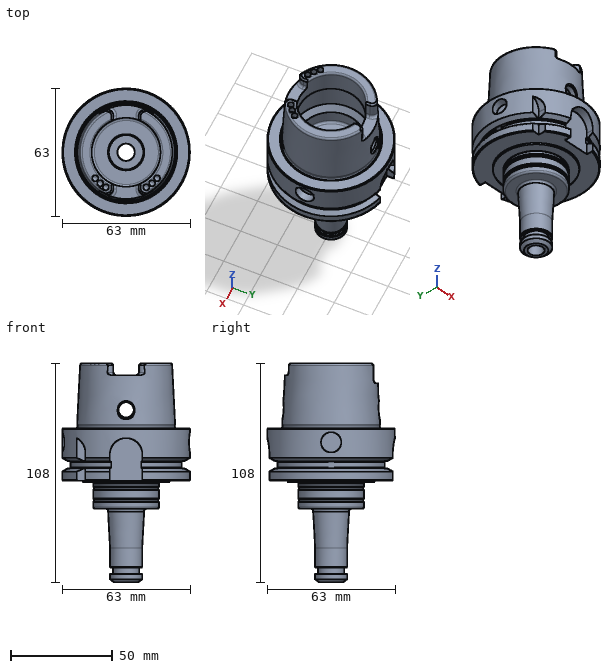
import cadquery as cq
import math


TOP_Z = 32.0
BOTTOM_Z = -76.0

TAPER_GAUGE_R = 24.0
TAPER_GAUGE_Z = 6.3
TAPER_SLOPE = 0.05
TAPER_BASE_Z = 2.0
RIM_ROUND = 1.0
RELIEF_R = 48.13 / 2
RELIEF_TOP_Z = 1.3
RELIEF_LOW_Z = 0.67
RELIEF_FLOOR_Z = -0.2
RELIEF_FLOOR_R = 24.7
RELIEF_EDGE_R = 25.3

FLANGE_R = 31.5
FLANGE_CHAMFER = 0.5
FLANGE_BOTTOM_Z = -26.0
GRIP_MID_Z = -18.05
GRIP_HALF_HEIGHT = 3.35
GRIP_INNER_HALF_HEIGHT = 1.75
GRIP_FLANK_ANGLE = math.radians(30)
GRIP_R = 27.5
GRIP_ROUND = 0.4
HUB_R = 21.5
HUB_BOTTOM_Z = -26.8
HUB_CHAMFER = 0.3

COLLAR_R = 32.5 / 2
COLLAR_TOP_CHAMFER_WIDTH = 0.3
COLLAR_TOP_CHAMFER_HEIGHT = 0.5
COLLAR_BOTTOM_Z = -39.8
COLLAR_ROUND = 1.0
COLLAR_GROOVE_DEPTH = 0.35
COLLAR_GROOVE_MOUTH = 1.9
COLLAR_GROOVE_FLOOR = 0.9
COLLAR_GROOVE_MID_Z = (-29.7, -35.6)

NOSE_R = 8.0
NOSE_ROOT_R = 8.95
NOSE_FILLET_TOP_R = 10.0
NOSE_FILLET_Z = -41.3
NOSE_TAPER_END_Z = -58.9
NECK_R = 13.0 / 2
NECK_TOP_Z = -68.8
NECK_BOTTOM_Z = -71.7
NECK_EDGE_CHAMFER = 0.4
TIP_R = 6.0
TIP_CHAMFER_Z = -74.4

MOUTH_R = 34.0 / 2
MOUTH_BOTTOM_Z = 19.0
UNDERCUT_R = 40.0 / 2
SHOULDER_ANGLE = math.radians(30)
MOUTH_ROUND = 1.0
UNDERCUT_BOTTOM_Z = 2.0
CAVITY_FLOOR_ROUND = 1.2
CAVITY_FLOOR_Z = -9.0
THREAD_R = 16.92 / 2
THREAD_MOUTH_R = 9.0
THREAD_DEPTH = 15.0
BORE_R = 8.4 / 2

SLOT_HALF_WIDTH = 12.5 / 2
SLOT_CORNER_R = 3.0
SLOT_SHOULDER_Y = 21.0
SLOT_FLOOR_ROUND = 1.5
SLOT_EDGE_CHAMFER = 1.0
SLOT_CHAMFER_ANGLE = 45.0
FRONT_SLOT_FLOOR_Z = 26.1
BACK_SLOT_FLOOR_Z = 22.2

KEYWAY_R = 8.0
KEYWAY_FLAT = 26.5
KEYWAY_CENTER_Z = -12.9

NOTCH_R = 8.0
NOTCH_WALL_X = -20.1
NOTCH_FLOOR_Y = -20.0
NOTCH_CENTER_Z = -12.0

CLAMP_HOLE_R = 7.5 / 2
CLAMP_HOLE_Z = 9.0
CLAMP_SINK_R = 4.65
SINK_RELIEF = 1.0
SIDE_HOLE_R = 8.5 / 2
SIDE_HOLE_Z = -7.0
SIDE_HOLE_Y = -3.9
SIDE_HOLE_TILT = 13.0
SIDE_HOLE_DEPTH = 5.0
CHIP_HOLE_R = 10.0 / 2
CHIP_HOLE_DEPTH = 4.5

RIM_HOLE_R = 3.0 / 2
RIM_HOLE_PITCH_R = 19.9
RIM_HOLE_DEPTH = 4.0
RIM_HOLE_POINT = 0.9
RIM_HOLE_ANGLES = (40, 50, 60)

CLEAR = 10.0


def taper_r(z):
    """Outside radius of the taper shank at height z."""
    return TAPER_GAUGE_R - TAPER_SLOPE * (z - TAPER_GAUGE_Z)


def collar_groove(profile, mid_z):
    """Run the outline down through one shallow groove of the collar."""
    floor_r = COLLAR_R - COLLAR_GROOVE_DEPTH
    return (
        profile.lineTo(COLLAR_R, mid_z + COLLAR_GROOVE_MOUTH / 2)
        .lineTo(floor_r, mid_z + COLLAR_GROOVE_FLOOR / 2)
        .lineTo(floor_r, mid_z - COLLAR_GROOVE_FLOOR / 2)
        .lineTo(COLLAR_R, mid_z - COLLAR_GROOVE_MOUTH / 2)
    )


def turned_body():
    """Outside shape: half outline in the XZ plane, top to bottom, turned about Z."""
    rim_r = taper_r(TOP_Z)
    flank_dr = (GRIP_HALF_HEIGHT - GRIP_INNER_HALF_HEIGHT) / math.tan(GRIP_FLANK_ANGLE)
    flank_r = FLANGE_R - flank_dr
    grip_top = GRIP_MID_Z + GRIP_INNER_HALF_HEIGHT
    grip_bottom = GRIP_MID_Z - GRIP_INNER_HALF_HEIGHT
    profile = (
        cq.Workplane("XZ")
        .moveTo(0, TOP_Z)
        .lineTo(rim_r - RIM_ROUND, TOP_Z)
        .tangentArcPoint((taper_r(TOP_Z - RIM_ROUND), TOP_Z - RIM_ROUND), relative=False)
        .lineTo(taper_r(TAPER_BASE_Z), TAPER_BASE_Z)
        .lineTo(RELIEF_R, RELIEF_TOP_Z)
        .lineTo(RELIEF_R, RELIEF_LOW_Z)
        .tangentArcPoint((RELIEF_FLOOR_R, RELIEF_FLOOR_Z), relative=False)
        .lineTo(RELIEF_EDGE_R, 0)
        .lineTo(FLANGE_R - FLANGE_CHAMFER, 0)
        .lineTo(FLANGE_R, -FLANGE_CHAMFER)
        .lineTo(FLANGE_R, GRIP_MID_Z + GRIP_HALF_HEIGHT)
        .lineTo(flank_r, grip_top)
        .lineTo(GRIP_R + GRIP_ROUND, grip_top)
        .tangentArcPoint((GRIP_R, grip_top - GRIP_ROUND), relative=False)
        .lineTo(GRIP_R, grip_bottom + GRIP_ROUND)
        .tangentArcPoint((GRIP_R + GRIP_ROUND, grip_bottom), relative=False)
        .lineTo(flank_r, grip_bottom)
        .lineTo(FLANGE_R, GRIP_MID_Z - GRIP_HALF_HEIGHT)
        .lineTo(FLANGE_R, FLANGE_BOTTOM_Z + FLANGE_CHAMFER)
        .lineTo(FLANGE_R - FLANGE_CHAMFER, FLANGE_BOTTOM_Z)
        .lineTo(HUB_R, FLANGE_BOTTOM_Z)
        .lineTo(HUB_R - HUB_CHAMFER, HUB_BOTTOM_Z)
        .lineTo(COLLAR_R - COLLAR_TOP_CHAMFER_WIDTH, HUB_BOTTOM_Z)
        .lineTo(COLLAR_R, HUB_BOTTOM_Z - COLLAR_TOP_CHAMFER_HEIGHT)
    )
    for mid_z in COLLAR_GROOVE_MID_Z:
        profile = collar_groove(profile, mid_z)
    profile = (
        profile.lineTo(COLLAR_R, COLLAR_BOTTOM_Z + COLLAR_ROUND)
        .tangentArcPoint((COLLAR_R - COLLAR_ROUND, COLLAR_BOTTOM_Z), relative=False)
        .lineTo(NOSE_FILLET_TOP_R, COLLAR_BOTTOM_Z)
        .tangentArcPoint((NOSE_ROOT_R, NOSE_FILLET_Z), relative=False)
        .lineTo(NOSE_R, NOSE_TAPER_END_Z)
        .lineTo(NOSE_R, NECK_TOP_Z + NECK_EDGE_CHAMFER)
        .lineTo(NOSE_R - NECK_EDGE_CHAMFER, NECK_TOP_Z)
        .lineTo(NECK_R, NECK_TOP_Z)
        .lineTo(NECK_R, NECK_BOTTOM_Z)
        .lineTo(NOSE_R - NECK_EDGE_CHAMFER, NECK_BOTTOM_Z)
        .lineTo(NOSE_R, NECK_BOTTOM_Z - NECK_EDGE_CHAMFER)
        .lineTo(NOSE_R, TIP_CHAMFER_Z)
        .lineTo(TIP_R, BOTTOM_Z)
        .lineTo(0, BOTTOM_Z)
        .close()
    )
    return profile.revolve(360, (0, 0, 0), (0, 1, 0))


def cavity():
    """Inside space: mouth, undercut, pit with rounded floor edge, thread core hole, through bore."""
    mouth_round_z = TOP_Z - MOUTH_ROUND
    undercut_top_z = MOUTH_BOTTOM_Z - (UNDERCUT_R - MOUTH_R) * math.tan(SHOULDER_ANGLE)
    pit_top_z = UNDERCUT_BOTTOM_Z - (UNDERCUT_R - MOUTH_R)
    floor_round_z = CAVITY_FLOOR_Z + CAVITY_FLOOR_ROUND
    thread_chamfer_z = CAVITY_FLOOR_Z - (THREAD_MOUTH_R - THREAD_R)
    thread_bottom_z = CAVITY_FLOOR_Z - THREAD_DEPTH
    profile = (
        cq.Workplane("XZ")
        .moveTo(0, TOP_Z)
        .lineTo(MOUTH_R + MOUTH_ROUND, TOP_Z)
        .radiusArc((MOUTH_R, mouth_round_z), -MOUTH_ROUND)
        .lineTo(MOUTH_R, MOUTH_BOTTOM_Z)
        .lineTo(UNDERCUT_R, undercut_top_z)
        .lineTo(UNDERCUT_R, UNDERCUT_BOTTOM_Z)
        .lineTo(MOUTH_R, pit_top_z)
        .lineTo(MOUTH_R, floor_round_z)
        .tangentArcPoint((MOUTH_R - CAVITY_FLOOR_ROUND, CAVITY_FLOOR_Z), relative=False)
        .lineTo(THREAD_MOUTH_R, CAVITY_FLOOR_Z)
        .lineTo(THREAD_R, thread_chamfer_z)
        .lineTo(THREAD_R, thread_bottom_z)
        .lineTo(BORE_R, thread_bottom_z)
        .lineTo(BORE_R, BOTTOM_Z)
        .lineTo(0, BOTTOM_Z)
        .close()
    )
    return profile.revolve(360, (0, 0, 0), (0, 1, 0))


def slot_plan(z):
    """Plan outline of a drive slot opening toward +Y, with rounded outer corners."""
    corner_y = SLOT_SHOULDER_Y - SLOT_CORNER_R
    corner_x = SLOT_HALF_WIDTH + SLOT_CORNER_R
    diagonal = SLOT_CORNER_R * math.sqrt(0.5)
    outer_y = TAPER_GAUGE_R + CLEAR
    outer_x = corner_x + CLEAR
    mid_x = corner_x - diagonal
    mid_y = corner_y + diagonal
    return (
        cq.Workplane("XY", origin=(0, 0, z))
        .moveTo(-SLOT_HALF_WIDTH, 0)
        .lineTo(SLOT_HALF_WIDTH, 0)
        .lineTo(SLOT_HALF_WIDTH, corner_y)
        .threePointArc((mid_x, mid_y), (corner_x, SLOT_SHOULDER_Y))
        .lineTo(outer_x, SLOT_SHOULDER_Y)
        .lineTo(outer_x, outer_y)
        .lineTo(-outer_x, outer_y)
        .lineTo(-outer_x, SLOT_SHOULDER_Y)
        .lineTo(-corner_x, SLOT_SHOULDER_Y)
        .threePointArc((-mid_x, mid_y), (-SLOT_HALF_WIDTH, corner_y))
        .close()
    )


def drive_slot(floor_z):
    """Slot toward +Y with a rounded floor edge and a chamfer along its rim edge."""
    slot = slot_plan(floor_z).extrude(TOP_Z - floor_z).faces("<Z").edges().fillet(SLOT_FLOOR_ROUND)
    flare = slot_plan(TOP_Z - SLOT_EDGE_CHAMFER).extrude(SLOT_EDGE_CHAMFER, taper=-SLOT_CHAMFER_ANGLE)
    return slot.union(flare)


def round_top_cut(center_x, floor_y, center_z, radius):
    """Cutter from the plane at floor_y toward -Y: round top, straight sides, open at the flange bottom."""
    height = center_z - FLANGE_BOTTOM_Z
    plane = cq.Workplane("XZ", origin=(center_x, floor_y, center_z))
    top = plane.circle(radius).extrude(FLANGE_R)
    straight = plane.center(0, -height / 2).rect(2 * radius, height).extrude(FLANGE_R)
    return top.union(straight)


def keyway():
    """Drive keyway with a flat floor on the -Y side of the flange."""
    return round_top_cut(0, -KEYWAY_FLAT, KEYWAY_CENTER_Z, KEYWAY_R)


def orientation_notch():
    """Corner cut that leaves a wall facing -X and a floor facing -Y."""
    return round_top_cut(NOTCH_WALL_X - NOTCH_R, NOTCH_FLOOR_Y, NOTCH_CENTER_Z, NOTCH_R)


def countersink(side):
    """45 degree countersink in the outside of the shank at +Y (side 1) or -Y (side -1)."""
    mouth = cq.Vector(0, side * taper_r(CLAMP_HOLE_Z), CLAMP_HOLE_Z)
    inward = cq.Vector(0, -side, 0)
    cone = cq.Solid.makeCone(CLAMP_SINK_R, CLAMP_HOLE_R, CLAMP_SINK_R - CLAMP_HOLE_R, mouth, inward)
    relief = cq.Solid.makeCylinder(CLAMP_SINK_R, SINK_RELIEF, mouth, inward * -1)
    return cq.Workplane(obj=cone).union(cq.Workplane(obj=relief))


def clamp_holes():
    """Cross hole through both shank walls, countersunk from outside."""
    start = cq.Vector(0, -FLANGE_R, CLAMP_HOLE_Z)
    hole = cq.Solid.makeCylinder(CLAMP_HOLE_R, 2 * FLANGE_R, start, cq.Vector(0, 1, 0))
    return cq.Workplane(obj=hole).union(countersink(-1)).union(countersink(1))


def flange_hole(radius, depth, y, side, tilt):
    """Blind hole in the flange wall at +X (side 1) or -X (side -1), tilted (degrees) about Z."""
    x = side * math.sqrt(FLANGE_R**2 - y**2)
    tilt_angle = math.radians(tilt)
    outward = cq.Vector(side * math.cos(tilt_angle), side * math.sin(tilt_angle), 0)
    bottom = cq.Vector(x, y, SIDE_HOLE_Z) - outward * depth
    return cq.Workplane(obj=cq.Solid.makeCylinder(radius, depth + CLEAR, bottom, outward))


def rim_hole(angle):
    """Blind drilled hole with a conical end in the shank rim."""
    x = RIM_HOLE_PITCH_R * math.cos(math.radians(angle))
    y = RIM_HOLE_PITCH_R * math.sin(math.radians(angle))
    bottom = cq.Vector(x, y, TOP_Z - RIM_HOLE_DEPTH)
    shaft = cq.Solid.makeCylinder(RIM_HOLE_R, RIM_HOLE_DEPTH, bottom)
    point = cq.Solid.makeCone(RIM_HOLE_R, 0, RIM_HOLE_POINT, bottom, cq.Vector(0, 0, -1))
    return cq.Workplane(obj=shaft).union(cq.Workplane(obj=point))


def turned_half_round(cutter):
    """Turn a cutter half a revolution about Z."""
    return cutter.rotate((0, 0, 0), (0, 0, 1), 180)


result = turned_body().cut(cavity())
result = result.cut(drive_slot(BACK_SLOT_FLOOR_Z))
result = result.cut(turned_half_round(drive_slot(FRONT_SLOT_FLOOR_Z)))
result = result.cut(keyway()).cut(turned_half_round(keyway()))
result = result.cut(orientation_notch())
result = result.cut(clamp_holes())
result = result.cut(flange_hole(SIDE_HOLE_R, SIDE_HOLE_DEPTH, SIDE_HOLE_Y, -1, SIDE_HOLE_TILT))
result = result.cut(flange_hole(CHIP_HOLE_R, CHIP_HOLE_DEPTH, 0, 1, 0))
for hole_angle in RIM_HOLE_ANGLES:
    result = result.cut(rim_hole(-hole_angle))
    result = result.cut(rim_hole(180 + hole_angle))